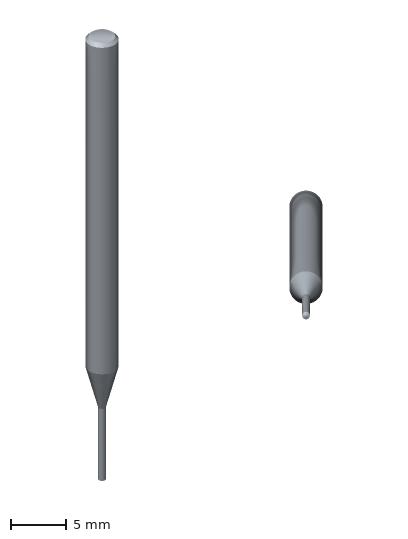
import cadquery as cq

total_length = 47.15
shank_radius = 1.5
shank_chamfer = 0.35
neck_diameter = 0.7
neck_radius = neck_diameter / 2
point_height = 0.15
tip_length = 3.5
neck_top = 7.8
taper_top = 12.15


def turned_body(profile):
    """Revolve a closed profile of (radius, height) points about Z."""
    outline = cq.Workplane("XZ").polyline(profile).close()
    return outline.revolve(360, (0, 0, 0), (0, 1, 0))


def make_cutting_tip():
    """Cylinder ending in a shallow conical point."""
    return turned_body([
        (0, 0),
        (neck_radius, point_height),
        (neck_radius, tip_length),
        (0, tip_length),
    ])


def make_shank():
    """Slim neck, conical taper and cylindrical shank with a chamfered top."""
    return turned_body([
        (0, tip_length),
        (neck_radius, tip_length),
        (neck_radius, neck_top),
        (shank_radius, taper_top),
        (shank_radius, total_length - shank_chamfer),
        (shank_radius - shank_chamfer, total_length),
        (0, total_length),
    ])


cutting_tip = make_cutting_tip()
shank = make_shank()

result = cq.Compound.makeCompound([cutting_tip.val(), shank.val()])